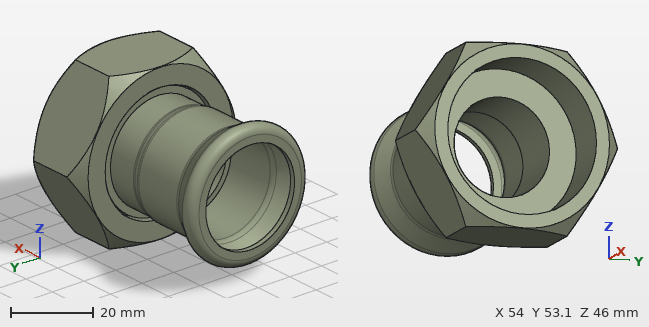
import cadquery as cq
import math


wall = 1.5
socket_radius = 31 / 2
socket_bore_radius = socket_radius - wall
bead_arc_radius = 2.5
bead_centre_radius = 16.18
bead_centre = (bead_arc_radius, bead_centre_radius)
bead_slope = math.radians(30)
bead_blend_radius = 2.0
lip_thickness = wall

neck_radius = 30 / 2
neck_bore_radius = 25 / 2
taper_start = 24.0
taper_length = 2.0
taper_blend_radius = 2.5
collar_radius = 34 / 2
collar_setback = 1.0
flange_thickness = 3.0

nut_start = 34.0
nut_length = 20.0
nut_across_flats = 46.0
nut_across_corners = nut_across_flats / math.cos(math.pi / 6)
nut_face_radius = 45.8 / 2
nut_lip_radius = 35 / 2
nut_lip_thickness = 4.0
nut_bore_radius = 39 / 2

collar_start = nut_start + collar_setback
flange_start = nut_start + nut_lip_thickness
flange_end = flange_start + flange_thickness
flange_radius = nut_bore_radius


def bead_point(arc_radius, angle):
    """Point on a bead arc; the angle is measured from the crest toward the neck."""
    return (
        bead_centre[0] + arc_radius * math.sin(angle),
        bead_centre[1] + arc_radius * math.cos(angle),
    )


def cone_meets_cylinder(arc_radius, cylinder_radius):
    """Corner where the cone leaving a bead arc reaches a cylinder."""
    x, r = bead_point(arc_radius, bead_slope)
    return (x + (r - cylinder_radius) / math.tan(bead_slope), cylinder_radius)


def blend_points(corner, blend_radius, angle_in, angle_out):
    """Start, middle and end of the arc that rounds a corner.

    The angles are the slopes of the lines into and out of the corner,
    positive where the radius falls with x.
    """
    turn = angle_out - angle_in
    tangent = blend_radius * math.tan(abs(turn) / 2)
    start = (corner[0] - tangent * math.cos(angle_in), corner[1] + tangent * math.sin(angle_in))
    end = (corner[0] + tangent * math.cos(angle_out), corner[1] - tangent * math.sin(angle_out))
    centre_side = 1 if turn < 0 else -1
    centre = (
        start[0] + centre_side * blend_radius * math.sin(angle_in),
        start[1] + centre_side * blend_radius * math.cos(angle_in),
    )
    middle_angle = (angle_in + angle_out) / 2
    middle = (
        centre[0] - centre_side * blend_radius * math.sin(middle_angle),
        centre[1] - centre_side * blend_radius * math.cos(middle_angle),
    )
    return start, middle, end


def revolve_about_x(profile):
    return profile.close().revolve(360, (0, 0, 0), (1, 0, 0))


def make_fitting():
    """Tube with a hollow sealing bead, a pipe stop, a collar and a flange that holds the nut."""
    bead_middle_angle = (bead_slope - math.pi / 2) / 2
    groove_arc_radius = bead_arc_radius - wall

    outer_corner = cone_meets_cylinder(bead_arc_radius, socket_radius)
    outer_blend = blend_points(outer_corner, bead_blend_radius, bead_slope, 0)
    inner_corner = cone_meets_cylinder(groove_arc_radius, socket_bore_radius)
    inner_blend = blend_points(inner_corner, bead_blend_radius + wall, bead_slope, 0)

    taper_slope = math.atan((socket_radius - neck_radius) / taper_length)
    taper_top = (taper_start, socket_radius)
    taper_foot = (taper_start + taper_length, neck_radius)
    top_blend = blend_points(taper_top, taper_blend_radius, 0, taper_slope)
    foot_blend = blend_points(taper_foot, taper_blend_radius, taper_slope, 0)

    profile = (
        cq.Workplane("XY")
        .moveTo(0, socket_bore_radius)
        .lineTo(0, bead_centre_radius)
        .threePointArc(
            bead_point(bead_arc_radius, bead_middle_angle),
            bead_point(bead_arc_radius, bead_slope),
        )
    )
    for start, middle, end in (outer_blend, top_blend, foot_blend):
        profile = profile.lineTo(*start).threePointArc(middle, end)
    profile = (
        profile.lineTo(collar_start, neck_radius)
        .lineTo(collar_start, collar_radius)
        .lineTo(flange_start, collar_radius)
        .lineTo(flange_start, flange_radius)
        .lineTo(flange_end, flange_radius)
        .lineTo(flange_end, neck_bore_radius)
        .lineTo(taper_start, neck_bore_radius)
        .lineTo(taper_start, socket_bore_radius)
        .lineTo(*inner_blend[2])
        .threePointArc(inner_blend[1], inner_blend[0])
        .lineTo(*bead_point(groove_arc_radius, bead_slope))
        .threePointArc(
            bead_point(groove_arc_radius, bead_middle_angle),
            (lip_thickness, bead_centre_radius),
        )
        .lineTo(lip_thickness, socket_bore_radius)
    )
    return revolve_about_x(profile)


def make_nut():
    """Hexagon nut with a front lip and its corners turned off at 45 degrees."""
    nut_end = nut_start + nut_length
    middle = nut_start + nut_length / 2
    hexagon = (
        cq.Workplane("YZ", origin=(nut_start, 0, 0))
        .polygon(6, nut_across_corners)
        .circle(nut_lip_radius)
        .extrude(nut_length)
    )
    bore = (
        cq.Workplane("YZ", origin=(flange_start, 0, 0))
        .circle(nut_bore_radius)
        .extrude(nut_end - flange_start)
    )
    double_cone = revolve_about_x(
        cq.Workplane("XY")
        .moveTo(nut_start, 0)
        .lineTo(nut_start, nut_face_radius)
        .lineTo(middle, nut_face_radius + nut_length / 2)
        .lineTo(nut_end, nut_face_radius)
        .lineTo(nut_end, 0)
    )
    return hexagon.intersect(double_cone).cut(bore)


fitting = make_fitting()
nut = make_nut()

result = cq.Compound.makeCompound([fitting.val(), *nut.vals()])